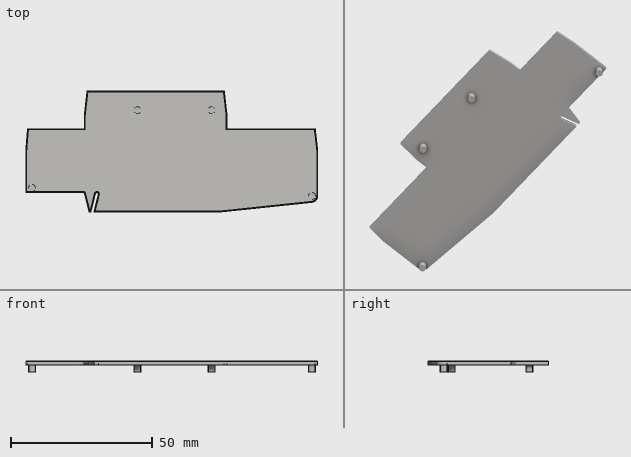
import cadquery as cq
import math

length = 103.4
width = 42.8
total_height = 4.0

plate_thickness = 1.5
top_chamfer = 0.3

lobe_back_y = 29.4
lobe_taper_y = 22.0
left_lobe_inset = 0.6
right_lobe_inset = 0.85
left_lobe_front_y = 6.9

back_lobe_left_x = 20.7
back_lobe_right_x = 71.3
back_lobe_taper_y = 34.1
back_lobe_inset = 1.0

slope_start_x = 69.4
slope_angle = math.radians(6)
slope_rise = (length - slope_start_x) * math.tan(slope_angle)
corner_radius = 2.3

lean_angle = math.radians(14)
lean = math.tan(lean_angle)
tongue_root_x = back_lobe_left_x
tongue_root_radius = 0.5
tongue_tip_width = 0.6
slot_width = 1.1
slot_end_y = 6.3

tongue_tip_x = tongue_root_x + left_lobe_front_y * lean

pin_diameter = 2.5
pin_centres = [(2.2, 8.4), (39.5, 36.0), (65.8, 36.0), (101.4, 5.6)]


def plate_outline():
    """Plate profile without the slot; the tongue is still joined to the front edge."""
    return [
        (0, left_lobe_front_y),
        (tongue_root_x, left_lobe_front_y),
        (tongue_tip_x, 0),
        (slope_start_x, 0),
        (length, slope_rise),
        (length, lobe_taper_y),
        (length - right_lobe_inset, lobe_back_y),
        (back_lobe_right_x, lobe_back_y),
        (back_lobe_right_x, back_lobe_taper_y),
        (back_lobe_right_x - back_lobe_inset, width),
        (back_lobe_left_x + back_lobe_inset, width),
        (back_lobe_left_x, back_lobe_taper_y),
        (back_lobe_left_x, lobe_back_y),
        (left_lobe_inset, lobe_back_y),
        (0, lobe_taper_y),
    ]


def slot_cutter():
    """Round-ended slot leaning to the right, open at the front edge."""
    slot_radius = slot_width / 2
    half_mouth = slot_radius / math.cos(lean_angle)
    mouth_x = tongue_tip_x + tongue_tip_width + half_mouth
    end_x = mouth_x + slot_end_y * lean
    reach_long = slot_radius * math.cos(lean_angle)
    reach_short = slot_radius * math.sin(lean_angle)
    overrun = 1.0
    return (
        cq.Workplane("XY")
        .moveTo(mouth_x - half_mouth - overrun * lean, -overrun)
        .lineTo(end_x - reach_long, slot_end_y + reach_short)
        .threePointArc(
            (end_x + reach_short, slot_end_y + reach_long),
            (end_x + reach_long, slot_end_y - reach_short),
        )
        .lineTo(mouth_x + half_mouth - overrun * lean, -overrun)
        .close()
        .extrude(plate_thickness)
    )


def vertical_edge_near(x, y):
    return cq.selectors.NearestToPointSelector((x, y, plate_thickness / 2))


def make_plate():
    plate = cq.Workplane("XY").polyline(plate_outline()).close().extrude(plate_thickness)
    front_corner = vertical_edge_near(length, slope_rise)
    plate = plate.edges("|Z").edges(front_corner).fillet(corner_radius)
    tongue_root = vertical_edge_near(tongue_root_x, left_lobe_front_y)
    plate = plate.edges("|Z").edges(tongue_root).fillet(tongue_root_radius)
    plate = plate.cut(slot_cutter())
    return plate.faces(">Z").chamfer(top_chamfer)


def make_pins():
    pin_length = total_height - plate_thickness
    return cq.Workplane("XY").pushPoints(pin_centres).circle(pin_diameter / 2).extrude(-pin_length)


result = make_plate().union(make_pins())